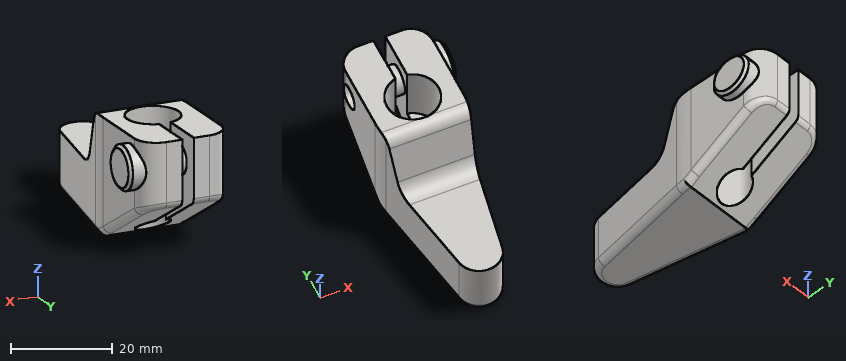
import cadquery as cq
import math

length = 52.4
height = 25.4
width = 18.95
half_width = width / 2

back_corner_radius = 4.75
tip_radius = 4.75
taper_start = 21.1
waist_radius = 25.0
selection_margin = 0.5

arm_height = 12.75
top_length = 21.5
shoulder_radius = 3.15
shoulder_angle = math.radians(70)
valley_radius = 4.35
underside_run = 20.45
underside_angle = math.radians(30)
underside_normal = cq.Vector(0, math.sin(underside_angle), -math.cos(underside_angle))
slope_rise = math.tan(underside_angle)
slope_drop = (length - underside_run) * slope_rise
bottom_fillet = 1.55

bore_from_back = 16.0
counterbore_diameter = 11.2
bore_diameter = 7.15
counterbore_floor = arm_height
slot_width = 2.5

screw_from_back = 6.4
screw_below_top = 6.35
shank_diameter = 6.35
screw_hole_diameter = 5.4
screw_hole_depth = 2.2
head_diameter = 9.45
head_projection = 2.45
head_seat_depth = 2.1
head_chamfer = 0.7


def plan_prism(bottom_z):
    """Rounded clamp block narrowing into an arm with a round tip."""
    tip_center_y = -(length - tip_radius)
    run = -taper_start - tip_center_y
    taper = math.atan2(half_width, run) - math.asin(tip_radius / math.hypot(half_width, run))
    tangent_x = tip_radius * math.cos(taper)
    tangent_y = tip_center_y - tip_radius * math.sin(taper)
    prism = (
        cq.Workplane("XY", origin=(0, 0, bottom_z))
        .moveTo(-half_width, 0)
        .lineTo(half_width, 0)
        .lineTo(half_width, -taper_start)
        .lineTo(tangent_x, tangent_y)
        .threePointArc((0, -length), (-tangent_x, tangent_y))
        .lineTo(-half_width, -taper_start)
        .close()
        .extrude(height - bottom_z)
    )
    prism = prism.edges("|Z and >Y").fillet(back_corner_radius)
    waist = cq.selectors.BoxSelector(
        (-width, -taper_start - selection_margin, bottom_z - selection_margin),
        (width, -taper_start + selection_margin, height + selection_margin),
    )
    return prism.edges("|Z").edges(waist).fillet(waist_radius)


def underside_wedge():
    """Wedge below the plane of the sloped underside, reaching from the back to the arm tip."""
    return (
        cq.Workplane("YZ")
        .moveTo(0, underside_run * slope_rise)
        .lineTo(-length, -slope_drop)
        .lineTo(0, -slope_drop)
        .close()
        .extrude(half_width, both=True)
    )


def side_prism():
    """Stepped side profile: tall block, sloped shoulder and low arm."""
    sin_a = math.sin(shoulder_angle)
    cos_a = math.cos(shoulder_angle)
    sin_half = math.sin(shoulder_angle / 2)
    cos_half = math.cos(shoulder_angle / 2)

    slope_top_y = -top_length - shoulder_radius * sin_a
    slope_top_z = height - shoulder_radius * (1 - cos_a)
    slope_bottom_z = arm_height + valley_radius * (1 - cos_a)
    slope_bottom_y = slope_top_y - (slope_top_z - slope_bottom_z) / math.tan(shoulder_angle)
    valley_end_y = slope_bottom_y - valley_radius * sin_a
    shoulder_mid = (
        -top_length - shoulder_radius * sin_half,
        height - shoulder_radius * (1 - cos_half),
    )
    valley_mid = (
        valley_end_y + valley_radius * sin_half,
        arm_height + valley_radius * (1 - cos_half),
    )
    return (
        cq.Workplane("YZ")
        .moveTo(0, 0)
        .lineTo(0, height)
        .lineTo(-top_length, height)
        .threePointArc(shoulder_mid, (slope_top_y, slope_top_z))
        .lineTo(slope_bottom_y, slope_bottom_z)
        .threePointArc(valley_mid, (valley_end_y, arm_height))
        .lineTo(-length, arm_height)
        .lineTo(-length, 0)
        .close()
        .extrude(half_width, both=True)
    )


def x_cylinder(diameter, x_start, x_end):
    """Cylinder on the screw axis."""
    return (
        cq.Workplane("YZ", origin=(x_start, -screw_from_back, height - screw_below_top))
        .circle(diameter / 2)
        .extrude(x_end - x_start)
    )


def z_cylinder(diameter, z_start):
    """Cylinder on the bore axis, running up to the top face."""
    return (
        cq.Workplane("XY", origin=(0, -bore_from_back, z_start))
        .circle(diameter / 2)
        .extrude(height - z_start)
    )


base_rounded = plan_prism(0).faces("<Z").edges().fillet(bottom_fillet)
slope_rounded = plan_prism(-slope_drop).cut(underside_wedge())
slope_rounded = slope_rounded.faces(cq.selectors.ParallelDirSelector(underside_normal))
slope_rounded = slope_rounded.edges().fillet(bottom_fillet)
body = base_rounded.intersect(slope_rounded).intersect(side_prism())

body = body.cut(z_cylinder(bore_diameter, 0))
body = body.cut(z_cylinder(counterbore_diameter, counterbore_floor))
slot = cq.Workplane("XY").box(slot_width, bore_from_back, height, centered=(True, False, False))
body = body.cut(slot.translate((0, -bore_from_back, 0)))

body = body.cut(x_cylinder(screw_hole_diameter, -half_width, -half_width + screw_hole_depth))
shank = x_cylinder(shank_diameter, -slot_width, slot_width)
head = x_cylinder(head_diameter, half_width - head_seat_depth, half_width + head_projection)
head = head.faces(">X").chamfer(head_chamfer)

result = body.union(shank).union(head)